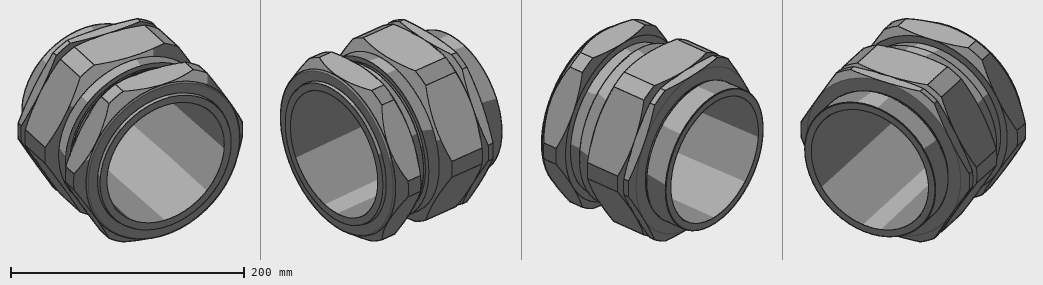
import cadquery as cq
import math


ACROSS_FLATS = 152.5
CORNER_R = 83.8
FLAT_R = ACROSS_FLATS / 2

SPIGOT_END = 21.5
SPIGOT_GROOVE_BOTTOM = 22.6
LOCK_NUT_START = 23.6
BODY_START = 33.8
BODY_END = 77.9
COLLAR_END = 89.5
COLLAR_GROOVE_BOTTOM = 90.6
NECK_START = 92.2
CAP_START = 102.7
CAP_END = 130.5
LENGTH = 133.7

SPIGOT_R = 65.0
SPIGOT_GROOVE_R = 63.2
LOCK_NUT_SHOULDER_R = 64.0
COLLAR_R = 73.5
COLLAR_GROOVE_MOUTH_R = 69.0
COLLAR_GROOVE_R = 67.9
NECK_R = 69.7
CAP_RIM_R = 76.0
LIP_ROOT_R = 65.7
LIP_TIP_R = 65.0
BORE_R = 58.1

LOCK_NUT_BEVEL = 18.0
WRENCH_BEVEL = 30.0
CAP_BACK_BEVEL = 45.0
CAP_BEVEL_END = 128.7
CAP_RIM_FILLET = 1.2
EDGE_BREAK = 0.5


def bevel_run(angle, inner_r=FLAT_R):
    """Length along X of a bevel that rises from inner_r to the corner radius."""
    return (CORNER_R - inner_r) * math.tan(math.radians(angle))


def revolve_profile(points):
    """Turn (x, radius) points, closed along the X axis, into a solid."""
    return cq.Workplane("XY").polyline(points).close().revolve(360, (0, 0, 0), (1, 0, 0))


def hexagon(start, end, turned_profile):
    """Hexagonal prism along X, trimmed by a turned envelope."""
    across_corners = ACROSS_FLATS / math.cos(math.pi / 6)
    prism = cq.Workplane("YZ", origin=(start, 0, 0)).polygon(6, across_corners).extrude(end - start)
    return prism.intersect(revolve_profile(turned_profile))


def lock_nut():
    """Thin hexagon bevelled at both ends."""
    run = bevel_run(LOCK_NUT_BEVEL)
    profile = [
        (LOCK_NUT_START, 0),
        (LOCK_NUT_START, FLAT_R),
        (LOCK_NUT_START + run, CORNER_R),
        (BODY_START - run, CORNER_R),
        (BODY_START, FLAT_R),
        (BODY_START, 0),
    ]
    return hexagon(LOCK_NUT_START, BODY_START, profile)


def body():
    """Long hexagon, its far bevel running down to the collar."""
    profile = [
        (BODY_START, 0),
        (BODY_START, FLAT_R),
        (BODY_START + bevel_run(WRENCH_BEVEL), CORNER_R),
        (BODY_END - bevel_run(WRENCH_BEVEL, COLLAR_R), CORNER_R),
        (BODY_END, COLLAR_R),
        (BODY_END, 0),
    ]
    return hexagon(BODY_START, BODY_END, profile)


def cap():
    """Hexagon with a round, filleted rim at its outer end."""
    profile = [
        (CAP_START, 0),
        (CAP_START, FLAT_R),
        (CAP_START + bevel_run(WRENCH_BEVEL), CORNER_R),
        (CAP_BEVEL_END - bevel_run(CAP_BACK_BEVEL, CAP_RIM_R), CORNER_R),
        (CAP_BEVEL_END, CAP_RIM_R),
        (CAP_END, CAP_RIM_R),
        (CAP_END, 0),
    ]
    return hexagon(CAP_START, CAP_END, profile).faces(">X").edges().fillet(CAP_RIM_FILLET)


def grooved_sleeve():
    """Turned core: spigot, V-groove, plain core under the hexagons, collar, V-groove and neck."""
    return revolve_profile([
        (0, 0),
        (0, SPIGOT_R - EDGE_BREAK),
        (EDGE_BREAK, SPIGOT_R),
        (SPIGOT_END, SPIGOT_R),
        (SPIGOT_GROOVE_BOTTOM, SPIGOT_GROOVE_R),
        (LOCK_NUT_START, LOCK_NUT_SHOULDER_R),
        (BODY_END, LOCK_NUT_SHOULDER_R),
        (BODY_END, COLLAR_R),
        (COLLAR_END, COLLAR_R),
        (COLLAR_END, COLLAR_GROOVE_MOUTH_R),
        (COLLAR_GROOVE_BOTTOM, COLLAR_GROOVE_R),
        (NECK_START, NECK_R),
        (CAP_START, NECK_R),
        (CAP_START, 0),
    ])


def lip():
    """Slightly tapered rim standing proud of the cap's outer face."""
    return revolve_profile([
        (CAP_END, 0),
        (CAP_END, LIP_ROOT_R),
        (LENGTH, LIP_TIP_R),
        (LENGTH, 0),
    ])


bore = cq.Workplane("YZ").circle(BORE_R).extrude(LENGTH)

result = grooved_sleeve().union(lock_nut()).union(body()).union(cap()).union(lip()).cut(bore)